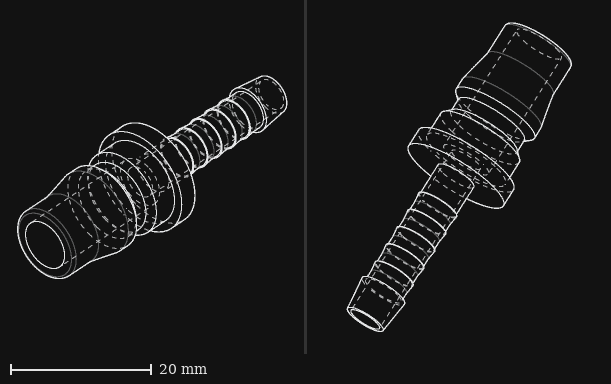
import cadquery as cq

length = 48.0
front = -length / 2
back = length / 2

flange_diameter = 16.0
body_diameter = 13.2
neck_diameter = 11.1
stem_diameter = 6.0
tip_barb_diameter = 7.15
ring_diameter = 6.4
bore_diameter = 4.8
counterbore_diameter = 7.5

nose_end = 5.25
taper_end = 10.35
collar_end = 12.15
flange_start = 20.15
flange_end = 23.0

groove_depth = (body_diameter - neck_diameter) / 2
groove_floor_width = 2.05
nose_fillet = 0.5

tip_barb_length = 5.0
ring_length = 1.5
ring_pitch = 3.0
ring_count = 5
first_ring_offset = 6.5


def cone_frustum(start, axial_length, start_diameter, end_diameter):
    """Solid of revolution about Y, running toward +Y from the start."""
    end = start + axial_length
    return (
        cq.Workplane("XY")
        .moveTo(0, start)
        .lineTo(start_diameter / 2, start)
        .lineTo(end_diameter / 2, end)
        .lineTo(0, end)
        .close()
        .revolve(360, (0, 0, 0), (0, 1, 0))
    )


def cylinder(start, axial_length, diameter):
    return cone_frustum(start, axial_length, diameter, diameter)


def plug():
    """Nose, tapered collar, 45 degree locking groove, body and flange."""
    groove_floor_start = collar_end + groove_depth
    groove_floor_end = groove_floor_start + groove_floor_width
    groove_end = groove_floor_end + groove_depth
    nose = cylinder(front, nose_end, neck_diameter).faces("<Y").edges().fillet(nose_fillet)
    taper = cone_frustum(front + nose_end, taper_end - nose_end, neck_diameter, body_diameter)
    collar = cylinder(front + taper_end, collar_end - taper_end, body_diameter)
    groove_front = cone_frustum(front + collar_end, groove_depth, body_diameter, neck_diameter)
    groove_floor = cylinder(front + groove_floor_start, groove_floor_width, neck_diameter)
    groove_back = cone_frustum(front + groove_floor_end, groove_depth, neck_diameter, body_diameter)
    body = cylinder(front + groove_end, flange_start - groove_end, body_diameter)
    flange = cylinder(front + flange_start, flange_end - flange_start, flange_diameter)
    solid = nose
    for section in (taper, collar, groove_front, groove_floor, groove_back, body, flange):
        solid = solid.union(section)
    return solid


def hose_stem():
    """Straight stem with a large tip barb and evenly spaced small rings."""
    stem = cylinder(front + flange_end, length - flange_end, stem_diameter)
    tip_barb = cone_frustum(back - tip_barb_length, tip_barb_length, tip_barb_diameter, stem_diameter)
    stem = stem.union(tip_barb)
    for index in range(ring_count):
        ring_start = back - first_ring_offset - index * ring_pitch - ring_length
        stem = stem.union(cone_frustum(ring_start, ring_length, ring_diameter, stem_diameter))
    return stem


through_bore = cylinder(front, length, bore_diameter)
counterbore = cylinder(front, flange_start, counterbore_diameter)

result = plug().union(hose_stem()).cut(through_bore).cut(counterbore)